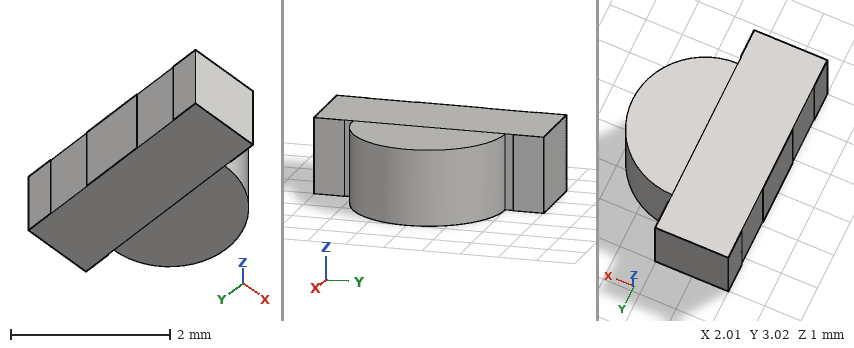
import cadquery as cq

overall_length = 3.02
height = 1.0
body_depth = 1.0
lens_radius = 1.0
plating_thickness = 0.01
cap_wrap_length = 0.405
center_pad_length = 0.903

body_length = overall_length - 2 * plating_thickness
body_front_x = body_depth / 2
body_back_x = -body_depth / 2


def make_body():
    """Plain block that carries the lens and the plating."""
    return cq.Workplane("XY").box(body_depth, body_length, height)


def make_lens():
    """Half cylinder standing on the +X face of the body."""
    return (
        cq.Workplane("XY", origin=(body_front_x, 0, -height / 2))
        .moveTo(0, -lens_radius)
        .threePointArc((lens_radius, 0), (0, lens_radius))
        .close()
        .extrude(height)
    )


def make_end_cap(side):
    """U-shaped plating around one end of the body; side is +1 or -1 along Y."""
    cap_depth = body_depth + 2 * plating_thickness
    cap_center_y = side * (overall_length - cap_wrap_length) / 2
    envelope = (
        cq.Workplane("XY")
        .box(cap_depth, cap_wrap_length, height)
        .translate((0, cap_center_y, 0))
    )
    return envelope.cut(make_body())


def make_center_pad():
    """Thin plated pad in the middle of the -X face."""
    pad_center_x = body_back_x - plating_thickness / 2
    return (
        cq.Workplane("XY")
        .box(plating_thickness, center_pad_length, height)
        .translate((pad_center_x, 0, 0))
    )


body = make_body()
lens = make_lens()
end_caps = [make_end_cap(side) for side in (-1, 1)]
center_pad = make_center_pad()

result = cq.Compound.makeCompound(
    [body.val(), lens.val(), *[cap.val() for cap in end_caps], center_pad.val()]
)